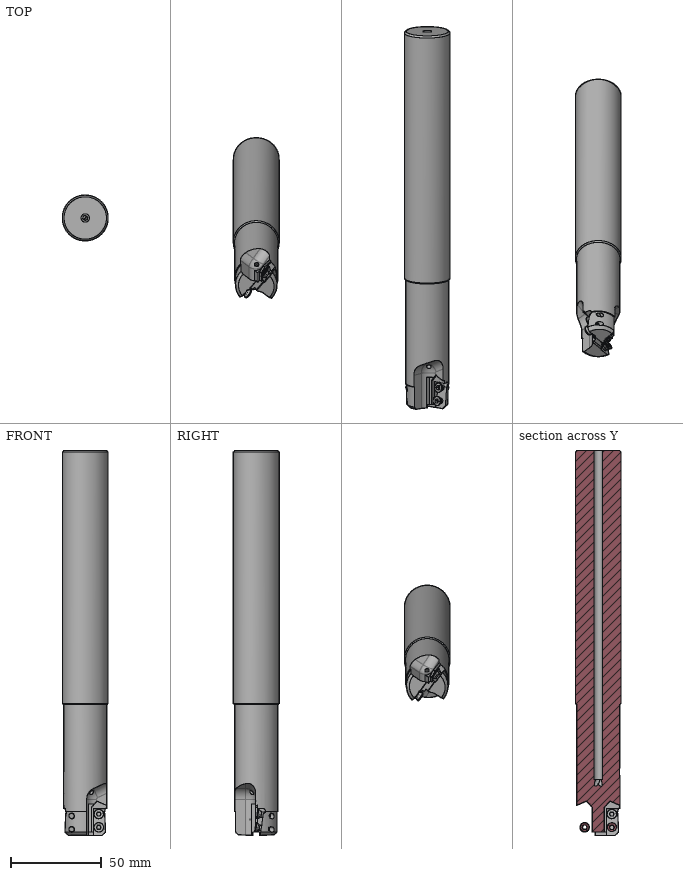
import cadquery as cq
import math

total_length = 212.64
shank_radius = 12.7
shank_top_chamfer = 1.0
shank_step_chamfer = 0.7
shank_bottom = 72.3
neck_radius = 12.0

head_radius = 11.5
head_top = 13.4
head_bottom_chamfer = 2.0
end_relief = 3.0

coolant_radius = 2.3
coolant_bottom = 31.0
branch_radius = 1.2
branch_exit = cq.Vector(4.0, -2.9, 22.7)
branch_overrun = 1.0

flute_angles = (0.0, 180.0)
gullet_wall_x = 0.8
gullet_floor_y = -0.3
gullet_corner_z = 24.2
gullet_slope = 25.0
gullet_end_radius = 6.5
gullet_floor_radius = 5.5
margin = 2.0

clearance_wall_x = 1.8
clearance_front_y = -3.2
clearance_top = 17.5

recess_wall_x = 3.4
recess_floor_y = 0.8
recess_wall_top = 15.6
recess_peak = (6.5, 19.0)
recess_outer_top = 15.4

seat_rake = 8.0
seat_bottom_y = 2.2
pocket_wall_x = 4.5
pocket_top = 15.0
relief_radius = 1.4
end_slot_length = 15.0
end_slot_width = 3.6
end_slot_depth = 1.9

screw_x = 7.5
screw_heights = (4.2, 11.6)
thread_radius = 1.5
thread_length = 4.0
collar_height = 1.0
cone_top = 2.8
head_height = 3.4
screw_head_radius = 2.6
socket_width = 2.6
socket_depth = 1.6

reach = shank_radius + margin
rake = math.radians(seat_rake)


def seat_plane(height):
    """Plane on the raked seat: its normal points out of the seat, its origin lies on a screw axis."""
    return cq.Plane(
        origin=(screw_x, seat_bottom_y + height * math.sin(rake), height * math.cos(rake)),
        xDir=(1, 0, 0),
        normal=(0, -math.cos(rake), math.sin(rake)),
    )


def turned_blank():
    """Shank, neck and cutting head as one revolved profile."""
    return (
        cq.Workplane("XZ")
        .moveTo(0, 0)
        .lineTo(head_radius - head_bottom_chamfer, 0)
        .lineTo(head_radius, head_bottom_chamfer)
        .lineTo(head_radius, head_top)
        .lineTo(neck_radius, head_top)
        .lineTo(neck_radius, shank_bottom)
        .lineTo(shank_radius, shank_bottom + shank_step_chamfer)
        .lineTo(shank_radius, total_length - shank_top_chamfer)
        .lineTo(shank_radius - shank_top_chamfer, total_length)
        .lineTo(0, total_length)
        .close()
        .revolve(360, (0, 0, 0), (0, 1, 0))
    )


def coolant_bore():
    bore_length = total_length - coolant_bottom
    return cq.Workplane("XY").workplane(offset=coolant_bottom).circle(coolant_radius).extrude(bore_length)


def coolant_branch():
    """Slanted channel from the foot of the bore to the gullet."""
    start = cq.Vector(0, 0, coolant_bottom)
    path = branch_exit - start
    return cq.Workplane(cq.Solid.makeCylinder(branch_radius, path.Length + branch_overrun, start, path))


def gullet():
    """Prism with a sloped, rounded runout, rounded along its floor."""
    slope = math.radians(gullet_slope)
    half_turn = (math.pi / 2 - slope) / 2
    tangent = gullet_end_radius * math.tan(half_turn)
    arc_start = (gullet_wall_x, gullet_corner_z - tangent)
    arc_end = (gullet_wall_x + tangent * math.cos(slope), gullet_corner_z + tangent * math.sin(slope))
    slope_end = (reach, gullet_corner_z + (reach - gullet_wall_x) * math.tan(slope))
    arc_mid = (
        arc_start[0] + gullet_end_radius * (1 - math.cos(half_turn)),
        arc_start[1] + gullet_end_radius * math.sin(half_turn),
    )
    return (
        cq.Workplane("XZ", origin=(0, gullet_floor_y, 0))
        .moveTo(gullet_wall_x, -margin)
        .lineTo(*arc_start)
        .threePointArc(arc_mid, arc_end)
        .lineTo(*slope_end)
        .lineTo(reach, -margin)
        .close()
        .extrude(reach)
        .faces(">Y")
        .edges(cq.selectors.BoxSelector(
            (0, gullet_floor_y - margin, -margin / 2),
            (reach - margin / 2, gullet_floor_y + margin, total_length),
        ))
        .fillet(gullet_floor_radius)
    )


def clearance():
    """Square step that opens the gullet's rounded corner beside the insert."""
    return cq.Workplane("XY").box(
        reach - clearance_wall_x,
        gullet_floor_y - clearance_front_y,
        clearance_top + margin,
        centered=False,
    ).translate((clearance_wall_x, clearance_front_y, -margin))


def insert_recess():
    """Shallow step with a gabled top, cut into the gullet floor around the pocket."""
    return (
        cq.Workplane("XZ", origin=(0, recess_floor_y, 0))
        .polyline([
            (recess_wall_x, -margin),
            (recess_wall_x, recess_wall_top),
            recess_peak,
            (reach, recess_outer_top),
            (reach, -margin),
        ])
        .close()
        .extrude(recess_floor_y - clearance_front_y)
    )


def insert_pocket():
    """Raked seat with an upright inner wall and a round relief along its upper corner."""
    seat_top_y = seat_bottom_y + pocket_top * math.tan(rake)
    seat_below_y = seat_bottom_y - margin * math.tan(rake)
    pocket = (
        cq.Workplane("YZ", origin=(pocket_wall_x, 0, 0))
        .polyline([
            (clearance_front_y, -margin),
            (seat_below_y, -margin),
            (seat_top_y, pocket_top),
            (clearance_front_y, pocket_top),
        ])
        .close()
        .extrude(reach - pocket_wall_x)
    )
    relief_z = pocket_top - relief_radius
    relief = (
        cq.Workplane("YZ", origin=(pocket_wall_x, 0, 0))
        .center(seat_top_y - relief_radius / 2, relief_z)
        .circle(relief_radius)
        .extrude(reach - pocket_wall_x)
    )
    return pocket.union(relief)


def end_slot():
    """Slot across the end face joining the two pockets."""
    return cq.Workplane("XY").box(
        end_slot_length, end_slot_width, end_slot_depth, centered=(True, True, False)
    )


def end_face_relief():
    """Thin wedge that lets the end face rise away from the slot."""
    slot_side = -end_slot_width / 2
    rise = (reach + slot_side) * math.tan(math.radians(end_relief))
    return (
        cq.Workplane("YZ", origin=(-reach, 0, 0))
        .polyline([(slot_side, 0), (-reach, 0), (-reach, rise)])
        .close()
        .extrude(2 * reach)
    )


def screw_hole(height):
    return cq.Workplane(seat_plane(height)).circle(thread_radius).extrude(-reach)


def screw(height):
    """Countersunk clamping screw, its head standing clear of the seat."""
    profile = (
        cq.Workplane("XZ")
        .moveTo(0, -thread_length)
        .lineTo(thread_radius, -thread_length)
        .lineTo(thread_radius, collar_height)
        .lineTo(screw_head_radius, cone_top)
        .lineTo(screw_head_radius, head_height)
        .lineTo(0, head_height)
        .close()
        .revolve(360, (0, 0, 0), (0, 1, 0))
    )
    socket = (
        cq.Workplane("XY")
        .workplane(offset=head_height - socket_depth)
        .polygon(6, socket_width)
        .extrude(socket_depth)
    )
    return cq.Workplane(profile.cut(socket).val().moved(seat_plane(height).location))


def about_axis(shape, angle):
    return shape.rotate((0, 0, 0), (0, 0, 1), angle)


cutter_body = turned_blank().cut(coolant_bore()).cut(end_slot())
for angle in flute_angles:
    flute_cuts = (
        gullet(),
        clearance(),
        insert_recess(),
        insert_pocket(),
        end_face_relief(),
        coolant_branch(),
    )
    for cutting_shape in flute_cuts:
        cutter_body = cutter_body.cut(about_axis(cutting_shape, angle))
    for height in screw_heights:
        cutter_body = cutter_body.cut(about_axis(screw_hole(height), angle))

screws = [
    about_axis(screw(height), angle).val()
    for angle in flute_angles
    for height in screw_heights
]

result = cq.Compound.makeCompound([cutter_body.val(), *screws])